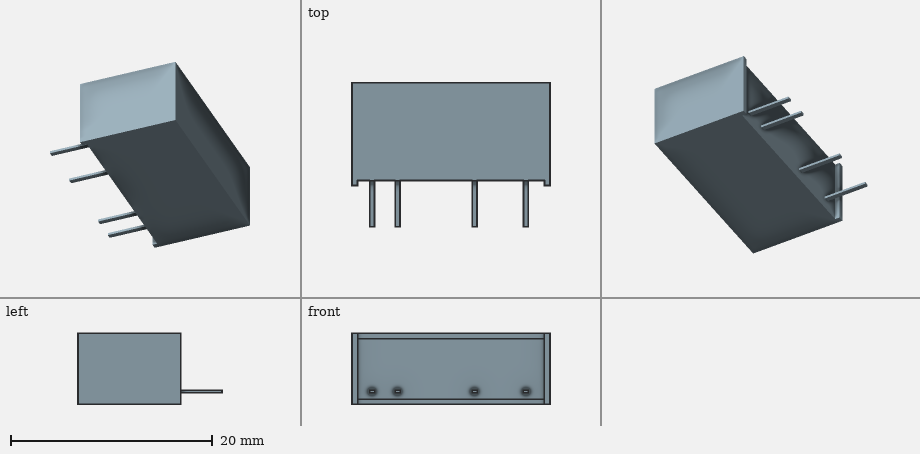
import cadquery as cq

case_length = 19.65
case_depth = 10.2
case_height = 7.05
cavity_length = 18.5
cavity_height = 6.0
standoff = 0.5

pin_pitch = 2.54
pin_grid_slots = (0, 1, 4, 6)
pin_width = 0.5
pin_thickness = 0.25
pin_reach = 4.1
first_pin_inset = 2.0
pin_row_drop = 2.25

middle_z = case_height / 2
open_face_y = standoff
back_wall = (case_height - cavity_height) / 2
cavity_depth = case_depth - standoff - back_wall
first_pin_x = -case_length / 2 + first_pin_inset
pin_row_z = middle_z - pin_row_drop
pin_length = pin_reach + standoff


def block(length, depth, height, x_centre, y_start, z_centre):
    """Box centred on x_centre and z_centre that starts at y_start and runs towards +Y."""
    box = cq.Workplane("XY").box(length, depth, height, centered=(True, False, True))
    return box.translate((x_centre, y_start, z_centre))


def make_potting():
    """Filling of the case cavity, flush with the edges of the open face."""
    return block(cavity_length, cavity_depth, cavity_height, 0, open_face_y, middle_z)


def make_case():
    """Box with its open face set back between the end standoffs, hollowed for the potting."""
    outer = block(case_length, case_depth, case_height, 0, 0, middle_z)
    standoff_gap = block(cavity_length, standoff, case_height, 0, 0, middle_z)
    return outer.cut(standoff_gap).cut(make_potting())


def make_pin(grid_slot):
    """Straight lead that stands on the potting and points towards -Y."""
    pin_x = first_pin_x + grid_slot * pin_pitch
    return block(pin_width, pin_length, pin_thickness, pin_x, -pin_reach, pin_row_z)


case = make_case()
potting = make_potting()
pins = [make_pin(grid_slot) for grid_slot in pin_grid_slots]

result = cq.Compound.makeCompound([case.val(), potting.val(), *[pin.val() for pin in pins]])